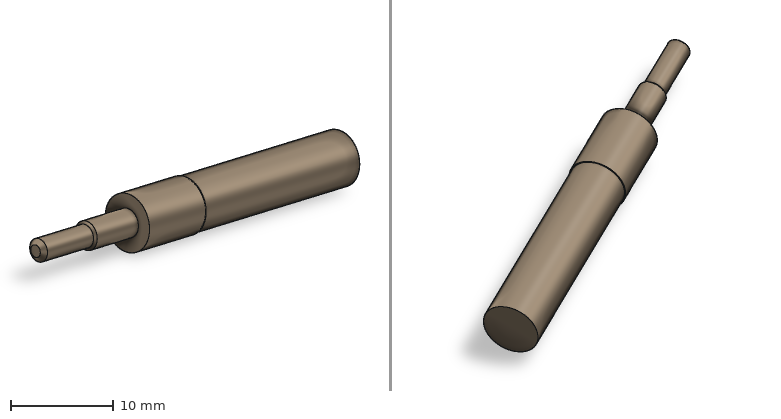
import cadquery as cq

total_length = 43.0
body_length = 21.95
collar_length = 8.05
shank_length = 6.05
tip_length = total_length - body_length - collar_length - shank_length

body_diameter = 5.8
collar_diameter = 6.0
shank_diameter = 3.0
tip_diameter = 2.4

shank_taper_length = 0.2
tip_chamfer_length = 0.45
tip_face_diameter = 1.3

tip_end = -total_length / 2
shank_end = tip_end + tip_length
collar_end = shank_end + shank_length
body_end = collar_end + collar_length
back_end = body_end + body_length

half_section = (
    cq.Workplane("XY")
    .moveTo(0, tip_end)
    .lineTo(tip_face_diameter / 2, tip_end)
    .lineTo(tip_diameter / 2, tip_end + tip_chamfer_length)
    .lineTo(tip_diameter / 2, shank_end)
    .lineTo(shank_diameter / 2, shank_end + shank_taper_length)
    .lineTo(shank_diameter / 2, collar_end)
    .lineTo(collar_diameter / 2, collar_end)
    .lineTo(collar_diameter / 2, body_end)
    .lineTo(body_diameter / 2, body_end)
    .lineTo(body_diameter / 2, back_end)
    .lineTo(0, back_end)
    .close()
)

result = half_section.revolve(360, (0, 0, 0), (0, 1, 0))